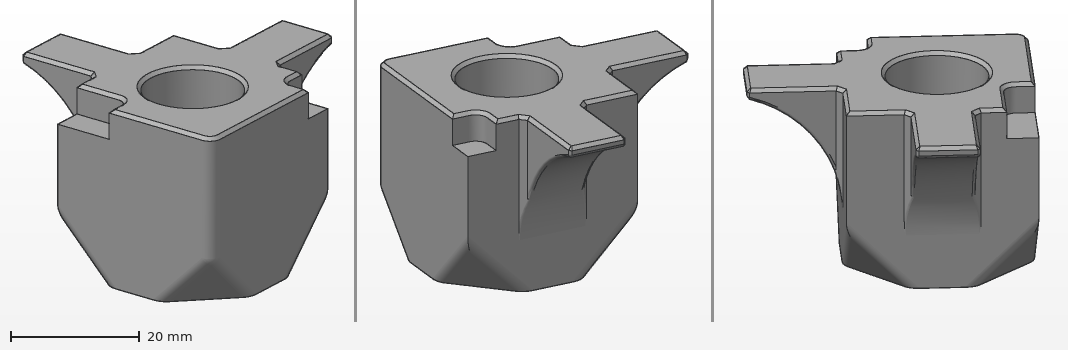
import cadquery as cq

OVERALL_X = 44.45
OVERALL_Y = 44.8

BLOCK = 30.0
HALF = BLOCK / 2
CORNER_CUT = 10.0
EDGE_RADIUS = 2.0
TOP_CHAMFER = 0.6

ARM_WIDTH = 10.0
LEFT_ARM_LENGTH = OVERALL_X - BLOCK
BACK_ARM_LENGTH = OVERALL_Y - BLOCK
ARM_FLARE = 1.0
ARM_TIP_CHAMFER = 0.4
ARM_UNDERSIDE_FILLET = 0.5
ARM_ROOT = 2.0
UNDERSIDE_RADIUS = 20.0
UNDERSIDE_FOOT = 8.95

NOTCH_WIDTH = 5.0
FRONT_NOTCH_LENGTH = 10.0
NOTCH_DEPTH = 5.0
NOTCH_RADIUS = 2.0

BORE_DIAMETER = 16.15
BRIDGE_WIDTH = 8.0
BRIDGE_HEIGHT = 5.0
PIN_BASE_DIAMETER = 5.0
PIN_TIP_DIAMETER = 1.3
PIN_HEIGHT = 5.0


def corner_cutter(sign_x, sign_y):
    """Pyramid that slices off one lower corner along a plane equally tilted to all three axes."""
    corner = cq.Vector(sign_x * HALF, sign_y * HALF, 0)
    along_x = corner - cq.Vector(sign_x * CORNER_CUT, 0, 0)
    along_y = corner - cq.Vector(0, sign_y * CORNER_CUT, 0)
    along_z = corner + cq.Vector(0, 0, CORNER_CUT)
    triangles = (
        (corner, along_x, along_y),
        (corner, along_y, along_z),
        (corner, along_z, along_x),
        (along_x, along_y, along_z),
    )
    faces = [cq.Face.makeFromWires(cq.Wire.makePolygon(list(t), close=True)) for t in triangles]
    return cq.Workplane(obj=cq.Solid.makeSolid(cq.Shell.makeShell(faces)))


def make_block():
    """Cube with four sliced lower corners and rounded edges."""
    block = cq.Workplane().box(BLOCK, BLOCK, BLOCK, centered=(True, True, False))
    for sign_x in (-1, 1):
        for sign_y in (-1, 1):
            block = block.cut(corner_cutter(sign_x, sign_y))
    slanted_edges = "|(1,0,1) or |(1,0,-1) or |(0,1,1) or |(0,1,-1)"
    upright_edge = "(|Z and >X) and <Y"
    return block.edges(f"{slanted_edges} or ({upright_edge})").fillet(EDGE_RADIUS)


def make_arm(length):
    """Arm along -X with a concave underside that ends tangent to the block wall."""
    tip = -HALF - length
    flare_start = -HALF - ARM_FLARE
    root = -HALF + ARM_ROOT
    bottom = UNDERSIDE_FOOT - ARM_ROOT
    half_width = ARM_WIDTH / 2
    root_half_width = half_width + ARM_FLARE + ARM_ROOT
    outline = (
        cq.Workplane()
        .workplane(offset=bottom)
        .moveTo(tip, -half_width)
        .lineTo(flare_start, -half_width)
        .lineTo(root, -root_half_width)
        .lineTo(root, root_half_width)
        .lineTo(flare_start, half_width)
        .lineTo(tip, half_width)
        .close()
    )
    arm = outline.extrude(BLOCK - bottom)

    arc_end = -HALF - UNDERSIDE_RADIUS
    underside = (
        cq.Workplane("XZ")
        .moveTo(-HALF, bottom)
        .lineTo(-HALF, UNDERSIDE_FOOT)
        .radiusArc((arc_end, UNDERSIDE_FOOT + UNDERSIDE_RADIUS), -UNDERSIDE_RADIUS)
        .lineTo(arc_end, bottom)
        .close()
        .extrude(BLOCK / 2, both=True)
    )
    arm = arm.cut(underside)
    arm = arm.faces("%CYLINDER").edges("%CIRCLE or %ELLIPSE").fillet(ARM_UNDERSIDE_FILLET)
    return arm.faces("<X").edges("not >Z").chamfer(ARM_TIP_CHAMFER)


def make_notch(corner_x, corner_y, length):
    """Step in a top corner, open to both walls, with a rounded inner corner."""
    return (
        cq.Workplane()
        .workplane(offset=BLOCK - NOTCH_DEPTH)
        .center(corner_x, corner_y)
        .rect(2 * length, 2 * NOTCH_WIDTH)
        .extrude(NOTCH_DEPTH)
        .edges("|Z")
        .fillet(NOTCH_RADIUS)
    )


def make_bridge():
    """Bar across the foot of the bore, carrying a pointed pin with a flat tip."""
    bore_core = cq.Workplane().circle(BORE_DIAMETER / 2).extrude(BRIDGE_HEIGHT)
    bar = cq.Workplane().rect(BLOCK, BRIDGE_WIDTH).extrude(BRIDGE_HEIGHT)
    pin = cq.Workplane(
        obj=cq.Solid.makeCone(
            PIN_BASE_DIAMETER / 2,
            PIN_TIP_DIAMETER / 2,
            PIN_HEIGHT,
            pnt=cq.Vector(0, 0, BRIDGE_HEIGHT),
        )
    )
    return bar.intersect(bore_core).union(pin)


left_arm = make_arm(LEFT_ARM_LENGTH)
back_arm = make_arm(BACK_ARM_LENGTH).rotate((0, 0, 0), (0, 0, 1), -90)
front_notch = make_notch(-HALF, -HALF, FRONT_NOTCH_LENGTH)
back_notch = make_notch(HALF, HALF, NOTCH_WIDTH)

body = make_block().union(left_arm).union(back_arm)
body = body.cut(front_notch).cut(back_notch)
body = body.cut(cq.Workplane().circle(BORE_DIAMETER / 2).extrude(BLOCK))
body = body.faces(">Z").edges().chamfer(TOP_CHAMFER)

result = body.union(make_bridge())